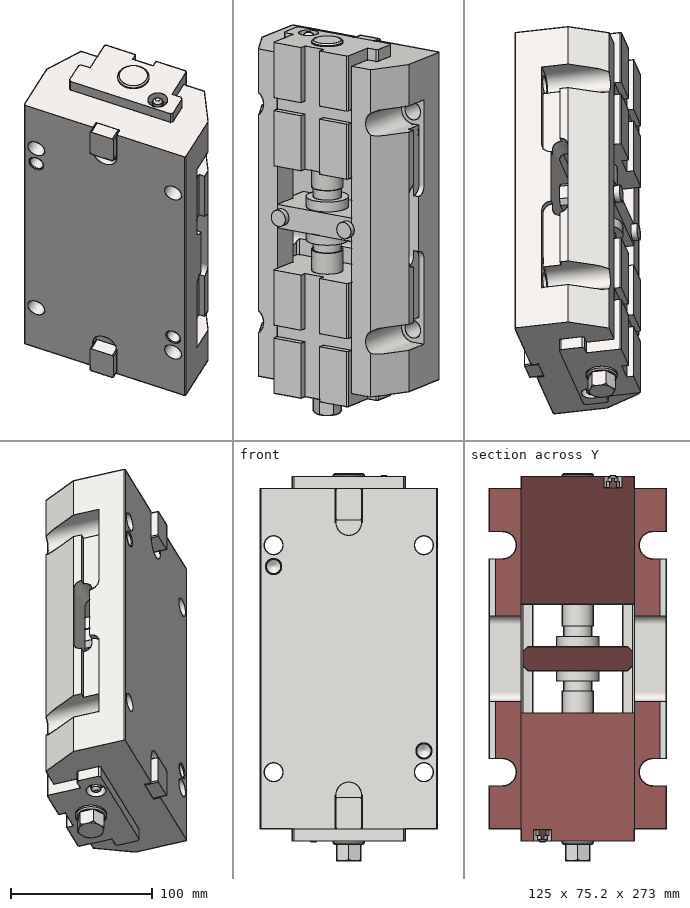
import cadquery as cq
import math


TOTAL_LENGTH = 273.0

HOUSING_WIDTH = 125.0
HOUSING_HEIGHT = 65.0
HOUSING_LENGTH = 240.0
HOUSING_TOP_WIDTH = 95.5
HOUSING_SIDE_HEIGHT = 38.8
HOUSING_EDGE_CHAMFER = 0.68

GUIDE_FLOOR_Y = 27.0
GUIDE_LIP_Y = 45.0
GUIDE_WIDTH = 80.0
NECK_WIDTH = 63.3
GUIDE_CORNER_CHAMFER = 1.5

JAW_TOP_Y = 70.2
JAW_OUTER_Z = 128.5
JAW_INNER_Z = 38.2
JAW_LONG_GROOVE_WIDTH = 15.8
JAW_CROSS_GROOVE_WIDTH = 9.5
JAW_GROOVE_DEPTH = 5.0
JAW_TOP_CHAMFER = 0.8

SPINDLE_Y = 49.0
SPINDLE_DIAMETER = 22.0
SPINDLE_TOP_OVERHANG = 2.0
SPINDLE_SHOULDER_OVERHANG = 2.5
SPINDLE_CHAMFER = 1.0
COLLAR_DIAMETER = 30.0
COLLAR_OUTER_Z = 15.8
RELIEF_DIAMETER = 20.0
RELIEF_OUTER_Z = 23.0
HEX_CORNER_DIAMETER = 20.0
HEX_CHAMFER = 1.0

BEARING_BLOCK_LENGTH = 17.2
BEARING_CORNER_CHAMFER = 3.5
BEARING_POST_DIAMETER = 12.0
BEARING_POST_X = 27.8
BEARING_POST_TOP_Y = 69.3

KEY_WIDTH = 18.0
KEY_HEIGHT = 10.0
KEY_LENGTH = 22.0
KEY_CORNER_CHAMFER = 0.8
KEY_PROTRUSION = 5.0
KEYWAY_MOUTH_CHAMFER = 0.5
KEYWAY_LENGTH = 33.0

BOLT_X = 53.0
BOLT_Z = 80.0
BOLT_HOLE_DIAMETER = 13.0
BOLT_SEAT_WIDTH = 19.0
BOLT_SEAT_Y = 19.7

TAPPED_HOLE_Z = 65.0
TAPPED_HOLE_DIAMETER = 10.0
TAPPED_HOLE_MOUTH = 11.5
TAPPED_HOLE_DEPTH = 20.0
DRILL_POINT_ANGLE = 118.0

SIDE_SLOT_WIDTH = 12.0
SIDE_SLOT_LENGTH = 60.0
SIDE_SLOT_Y = 32.5
SIDE_RECESS_WIDTH = 13.0
SIDE_RECESS_DEPTH = 4.5
SIDE_RECESS_INNER_Z = 20.2

NIPPLE_X = 24.8
NIPPLE_Y = 35.8
NIPPLE_BORE_DIAMETER = 14.0
NIPPLE_BORE_DEPTH = 8.0
NIPPLE_HEX_FLATS = 8.0
NIPPLE_HEX_HEIGHT = 4.0
NIPPLE_HEAD_DIAMETER = 6.8
NIPPLE_TIP_DIAMETER = 3.3
NIPPLE_OVERHANG = 0.5

SIDE_X = HOUSING_WIDTH / 2
END_Z = HOUSING_LENGTH / 2
SPINDLE_TOP_Z = JAW_OUTER_Z + SPINDLE_TOP_OVERHANG
SPINDLE_BOTTOM_Z = SPINDLE_TOP_Z - TOTAL_LENGTH
SHOULDER_Z = -JAW_OUTER_Z - SPINDLE_SHOULDER_OVERHANG


def box(x0, x1, y0, y1, z0, z1):
    """Axis-aligned block between two opposite corners."""
    return cq.Workplane("XY").box(x1 - x0, y1 - y0, z1 - z0, centered=False).translate((x0, y0, z0))


def y_cylinder(diameter, x, z, y0, y1):
    """Cylinder parallel to Y."""
    return cq.Workplane("XZ").circle(diameter / 2).extrude(y0 - y1).translate((x, y0, z))


def z_cylinder(diameter, x, y, z0, z1):
    """Cylinder parallel to Z."""
    return cq.Workplane("XY").circle(diameter / 2).extrude(z1 - z0).translate((x, y, z0))


def turned_upside_down(body):
    """Copy of a body turned half a turn about the Y axis."""
    return body.rotate((0, 0, 0), (0, 1, 0), 180)


def guide_bar(top_y, z0, z1):
    """Bar with the T section of the jaw guide."""
    foot = box(-GUIDE_WIDTH / 2, GUIDE_WIDTH / 2, GUIDE_FLOOR_Y, GUIDE_LIP_Y, z0, z1)
    foot = foot.edges("|Z").chamfer(GUIDE_CORNER_CHAMFER)
    neck = box(-NECK_WIDTH / 2, NECK_WIDTH / 2, SPINDLE_Y - SPINDLE_DIAMETER / 2, top_y, z0, z1)
    return foot.union(neck)


def bearing_posts():
    """Pair of posts that lock the bearing between the guide lips."""
    left = y_cylinder(BEARING_POST_DIAMETER, -BEARING_POST_X, 0, GUIDE_LIP_Y, BEARING_POST_TOP_Y)
    return left.union(turned_upside_down(left))


def housing_blank():
    half_top = HOUSING_TOP_WIDTH / 2
    outline = [
        (-SIDE_X, 0),
        (SIDE_X, 0),
        (SIDE_X, HOUSING_SIDE_HEIGHT),
        (half_top, HOUSING_HEIGHT),
        (-half_top, HOUSING_HEIGHT),
        (-SIDE_X, HOUSING_SIDE_HEIGHT),
    ]
    blank = cq.Workplane("XY").polyline(outline).close().extrude(END_Z, both=True)
    return blank.faces("<Y").edges("|Z").chamfer(HOUSING_EDGE_CHAMFER)


def keyway():
    """Open-ended keyway with chamfered sides, at the upper end of the mounting face."""
    depth = KEY_HEIGHT - KEY_PROTRUSION
    half_width = KEY_WIDTH / 2
    half_mouth = half_width + KEYWAY_MOUTH_CHAMFER
    round_z = END_Z - KEYWAY_LENGTH + half_width
    profile = [
        (-half_mouth, 0),
        (half_mouth, 0),
        (half_width, KEYWAY_MOUTH_CHAMFER),
        (half_width, depth),
        (-half_width, depth),
        (-half_width, KEYWAY_MOUTH_CHAMFER),
    ]
    channel = cq.Workplane("XY").polyline(profile).close().extrude(END_Z - round_z)
    channel = channel.translate((0, 0, round_z))
    return channel.union(y_cylinder(KEY_WIDTH, 0, round_z, 0, depth))


def bolt_cut(side, z):
    """Mounting hole with a seat that opens to the side and to the top."""
    hole = y_cylinder(BOLT_HOLE_DIAMETER, side * BOLT_X, z, 0, HOUSING_HEIGHT)
    seat = y_cylinder(BOLT_SEAT_WIDTH, side * BOLT_X, z, BOLT_SEAT_Y, HOUSING_HEIGHT)
    mouth_x = sorted((side * BOLT_X, side * SIDE_X))
    half_width = BOLT_SEAT_WIDTH / 2
    mouth = box(*mouth_x, BOLT_SEAT_Y, HOUSING_HEIGHT, z - half_width, z + half_width)
    return hole.union(seat).union(mouth)


def tapped_hole():
    """Countersunk blind hole with a drill point, in the mounting face."""
    radius = TAPPED_HOLE_DIAMETER / 2
    mouth_radius = TAPPED_HOLE_MOUTH / 2
    point_depth = radius / math.tan(math.radians(DRILL_POINT_ANGLE / 2))
    profile = [
        (0, 0),
        (mouth_radius, 0),
        (radius, mouth_radius - radius),
        (radius, TAPPED_HOLE_DEPTH),
        (0, TAPPED_HOLE_DEPTH + point_depth),
    ]
    hole = cq.Workplane("XY").polyline(profile).close().revolve(360, (0, 0, 0), (0, 1, 0))
    return hole.translate((-BOLT_X, 0, TAPPED_HOLE_Z))


def side_recess(side):
    """Shallow round-ended channel from the middle of a side to its upper bolt seat."""
    x0, x1 = sorted((side * (SIDE_X - SIDE_RECESS_DEPTH), side * SIDE_X))
    round_z = SIDE_RECESS_INNER_Z + SIDE_RECESS_WIDTH / 2
    channel = box(x0, x1, BOLT_SEAT_Y, BOLT_SEAT_Y + SIDE_RECESS_WIDTH, round_z, BOLT_Z)
    end = cq.Workplane("YZ").circle(SIDE_RECESS_WIDTH / 2).extrude(SIDE_RECESS_DEPTH)
    return channel.union(end.translate((x0, BOLT_SEAT_Y + SIDE_RECESS_WIDTH / 2, round_z)))


def side_slot():
    """Chip slot through both side walls, level with the guide floor."""
    slot = cq.Workplane("YZ").slot2D(SIDE_SLOT_LENGTH, SIDE_SLOT_WIDTH, 90).extrude(SIDE_X, both=True)
    return slot.translate((0, SIDE_SLOT_Y, 0))


def make_housing():
    body = housing_blank()
    body = body.cut(guide_bar(JAW_TOP_Y, -END_Z, END_Z))
    body = body.cut(bearing_posts()).cut(side_slot())
    for cutter in (keyway(), tapped_hole(), side_recess(-1), side_recess(1)):
        body = body.cut(cutter).cut(turned_upside_down(cutter))
    for side in (-1, 1):
        for z in (-BOLT_Z, BOLT_Z):
            body = body.cut(bolt_cut(side, z))
    return body


def make_key():
    inner_y = KEY_HEIGHT - KEY_PROTRUSION
    body = box(-KEY_WIDTH / 2, KEY_WIDTH / 2, -KEY_PROTRUSION, inner_y, END_Z - KEY_LENGTH, END_Z)
    return body.edges("|Y").chamfer(KEY_CORNER_CHAMFER)


def make_jaw():
    body = guide_bar(JAW_TOP_Y, JAW_INNER_Z, JAW_OUTER_Z)
    body = body.faces(">Y").edges("|Z").chamfer(JAW_TOP_CHAMFER)
    groove_y = JAW_TOP_Y - JAW_GROOVE_DEPTH
    half_long = JAW_LONG_GROOVE_WIDTH / 2
    half_cross = JAW_CROSS_GROOVE_WIDTH / 2
    middle_z = (JAW_INNER_Z + JAW_OUTER_Z) / 2
    body = body.cut(box(-half_long, half_long, groove_y, JAW_TOP_Y, JAW_INNER_Z, JAW_OUTER_Z))
    body = body.cut(
        box(-NECK_WIDTH / 2, NECK_WIDTH / 2, groove_y, JAW_TOP_Y, middle_z - half_cross, middle_z + half_cross)
    )
    body = body.cut(z_cylinder(SPINDLE_DIAMETER, 0, SPINDLE_Y, JAW_INNER_Z, JAW_OUTER_Z))
    bore_z = JAW_OUTER_Z - NIPPLE_BORE_DEPTH
    return body.cut(z_cylinder(NIPPLE_BORE_DIAMETER, NIPPLE_X, NIPPLE_Y, bore_z, JAW_OUTER_Z))


def make_nipple():
    floor_z = JAW_OUTER_Z - NIPPLE_BORE_DEPTH
    hex_corners = NIPPLE_HEX_FLATS / math.cos(math.pi / 6)
    head_height = NIPPLE_BORE_DEPTH + NIPPLE_OVERHANG - NIPPLE_HEX_HEIGHT
    base = cq.Workplane("XY").polygon(6, hex_corners).extrude(NIPPLE_HEX_HEIGHT)
    head = base.faces(">Z").workplane().circle(NIPPLE_HEAD_DIAMETER / 2).extrude(head_height)
    tip_chamfer = (NIPPLE_HEAD_DIAMETER - NIPPLE_TIP_DIAMETER) / 2
    return head.faces(">Z").chamfer(tip_chamfer).translate((NIPPLE_X, NIPPLE_Y, floor_z))


def make_spindle():
    shaft = z_cylinder(SPINDLE_DIAMETER, 0, SPINDLE_Y, SHOULDER_Z, SPINDLE_TOP_Z)
    shaft = shaft.faces("<Z or >Z").chamfer(SPINDLE_CHAMFER)
    drive = cq.Workplane("XY").polygon(6, HEX_CORNER_DIAMETER).extrude(SHOULDER_Z - SPINDLE_BOTTOM_Z)
    drive = drive.rotate((0, 0, 0), (0, 0, 1), 90).translate((0, SPINDLE_Y, SPINDLE_BOTTOM_Z))
    rounding = z_cylinder(HEX_CORNER_DIAMETER, 0, SPINDLE_Y, SPINDLE_BOTTOM_Z, SHOULDER_Z)
    drive = drive.intersect(rounding.faces("<Z").chamfer(HEX_CHAMFER))
    spindle = shaft.union(drive)
    relief = z_cylinder(SPINDLE_DIAMETER, 0, SPINDLE_Y, COLLAR_OUTER_Z, RELIEF_OUTER_Z)
    relief = relief.cut(z_cylinder(RELIEF_DIAMETER, 0, SPINDLE_Y, COLLAR_OUTER_Z, RELIEF_OUTER_Z))
    spindle = spindle.cut(relief).cut(turned_upside_down(relief))
    collar_inner_z = BEARING_BLOCK_LENGTH / 2
    collar = z_cylinder(COLLAR_DIAMETER, 0, SPINDLE_Y, collar_inner_z, COLLAR_OUTER_Z)
    return spindle.union(collar).union(turned_upside_down(collar))


def make_bearing():
    half_foot = GUIDE_WIDTH / 2 - GUIDE_CORNER_CHAMFER
    half_neck = NECK_WIDTH / 2
    half_length = BEARING_BLOCK_LENGTH / 2
    foot = box(-half_foot, half_foot, GUIDE_FLOOR_Y, GUIDE_LIP_Y, -half_length, half_length)
    foot = foot.edges("|Y").chamfer(BEARING_CORNER_CHAMFER)
    neck = box(-half_neck, half_neck, GUIDE_LIP_Y, HOUSING_HEIGHT, -half_length, half_length)
    body = foot.union(neck).union(bearing_posts())
    return body.cut(z_cylinder(SPINDLE_DIAMETER, 0, SPINDLE_Y, -half_length, half_length))


housing = make_housing()
spindle = make_spindle()
bearing = make_bearing()

paired_bodies = []
for upper_body in (make_key(), make_jaw(), make_nipple()):
    paired_bodies.append(upper_body.val())
    paired_bodies.append(turned_upside_down(upper_body).val())

result = cq.Compound.makeCompound([housing.val(), spindle.val(), bearing.val(), *paired_bodies])